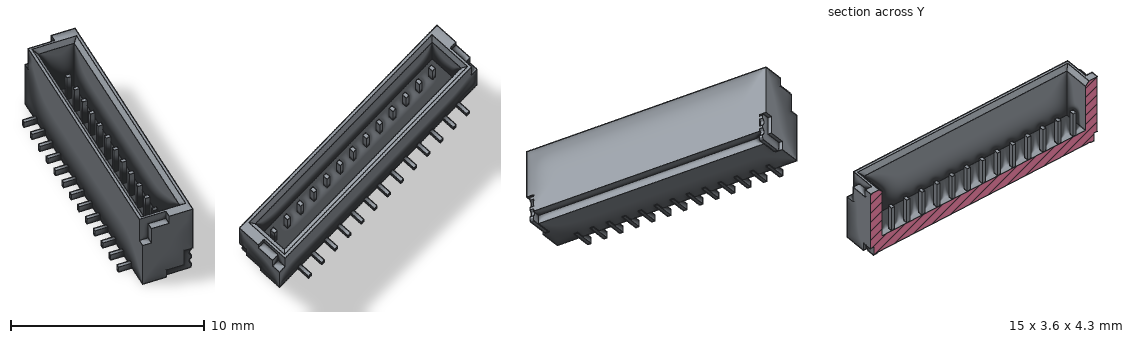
import cadquery as cq


length = 15.0
depth = 2.85
total_height = 4.3
standoff = 0.05
step_reach = 1.5
step_width = 0.5
notch_depth = 0.42

end_wall = 0.8
side_wall = 0.4
floor_thickness = 1.0
mouth_bevel = 0.24

contact_count = 13
pitch = length / (contact_count + 2)
contact_width = 0.21
pin_thickness = 0.27
pin_setback = 1.8
pin_drop = 1.71
pin_root = 0.3
foot_reach = 0.75
foot_embed = 0.51
foot_height = 0.36

tab_thickness = 0.21
tab_corner = 0.12
toe_radius = 0.18
scallop_count = 2
scallop_diameter = 0.5
scallop_depth = 0.12
scallop_spacing = 0.58
first_scallop_height = 0.48

cavity_length = length - 2 * end_wall
cavity_width = depth - 2 * side_wall
cavity_floor = standoff + floor_thickness
END_SIDES = (-1, 1)


def box(x_range, y_range, z_range):
    """Block spanning the given (low, high) ranges."""
    sizes = [high - low for low, high in (x_range, y_range, z_range)]
    corner = (x_range[0], y_range[0], z_range[0])
    return cq.Workplane("XY").box(*sizes, centered=False).translate(corner)


def stepped_prism(corner_y, corner_z, y_sign, z_sign, x_start, x_size, overhang=0.0):
    """L-shaped prism along X, its arms leading from the outer corner.

    The signs point into the housing; overhang extends the L outward in Z.
    """
    outer_z = corner_z - z_sign * overhang
    near_y = corner_y + y_sign * step_width
    far_y = corner_y + y_sign * step_reach
    near_z = corner_z + z_sign * step_width
    far_z = corner_z + z_sign * step_reach
    outline = [
        (corner_y, outer_z),
        (far_y, outer_z),
        (far_y, near_z),
        (near_y, near_z),
        (near_y, far_z),
        (corner_y, far_z),
    ]
    profile = cq.Workplane("YZ").workplane(offset=x_start).polyline(outline).close()
    return profile.extrude(x_size)


def make_cavity():
    """Rectangular pocket whose mouth is bevelled at 45 degrees."""
    pocket = box(
        (-cavity_length / 2, cavity_length / 2),
        (side_wall, depth - side_wall),
        (cavity_floor, total_height),
    )
    mouth = (
        cq.Workplane("XY", origin=(0, depth / 2, total_height - mouth_bevel))
        .rect(cavity_length, cavity_width)
        .workplane(offset=mouth_bevel)
        .rect(cavity_length + 2 * mouth_bevel, cavity_width + 2 * mouth_bevel)
        .loft(ruled=True)
    )
    return pocket.union(mouth)


def make_housing():
    """Shroud with stepped end notches and a relief along its lower rear edge."""
    half = length / 2
    housing = box((-half, half), (0, depth), (standoff, total_height))
    housing = housing.cut(make_cavity())
    for side in END_SIDES:
        x_start = min(side * half, side * (half - notch_depth))
        housing = housing.cut(stepped_prism(0, total_height, 1, -1, x_start, notch_depth))
        housing = housing.cut(stepped_prism(depth, standoff, -1, 1, x_start, notch_depth))
    relief = box(
        (-half, half),
        (depth - step_width, depth),
        (standoff, standoff + step_width),
    )
    return housing.cut(relief)


def make_tab(side):
    """L-shaped solder tab seated in a lower notch, with a scalloped rear edge."""
    inner_x = side * (length / 2 - notch_depth)
    x_start = min(inner_x, inner_x + side * tab_thickness)
    tab = stepped_prism(depth, standoff, -1, 1, x_start, tab_thickness, overhang=standoff)
    tab = tab.edges("|X and >Y").fillet(tab_corner)
    tab = tab.edges("|X and <Y and <Z").fillet(toe_radius)
    scallop_y = depth + scallop_diameter / 2 - scallop_depth
    for index in range(scallop_count):
        scallop_z = first_scallop_height + index * scallop_spacing
        scallop = (
            cq.Workplane("YZ", origin=(x_start, scallop_y, scallop_z))
            .circle(scallop_diameter / 2)
            .extrude(tab_thickness)
        )
        tab = tab.cut(scallop)
    return tab


def make_contact(x_center):
    """Upright cavity pin and flat solder foot, returned as two blocks."""
    x_range = (x_center - contact_width / 2, x_center + contact_width / 2)
    pin = box(
        x_range,
        (pin_setback - pin_thickness / 2, pin_setback + pin_thickness / 2),
        (cavity_floor - pin_root, total_height - pin_drop),
    )
    foot = box(x_range, (-foot_reach, foot_embed), (0, foot_height))
    return pin, foot


result = make_housing()
for side in END_SIDES:
    result = result.union(make_tab(side))
for index in range(contact_count):
    pin, foot = make_contact((index - (contact_count - 1) / 2) * pitch)
    result = result.union(pin).union(foot)